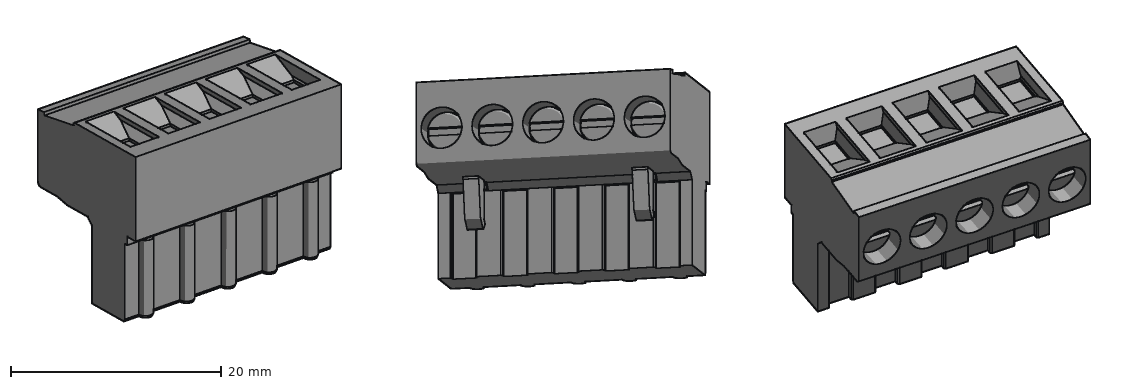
import cadquery as cq

length = 15.0
width = 25.0
height = 18.2

pole_count = 5
pole_pitch = width / pole_count
pole_centres = [pole_pitch * (i + 0.5) for i in range(pole_count)]

head_bottom = 9.3
overhang_bottom = 9.22
throat_bottom = 8.98
plug_top = 8.3
plug_front = 8.3
plug_back = 13.35
neck_back = 13.7
gusset = throat_bottom - plug_top
nose_radius = 0.5
step_x = 5.48
step_chamfer = 0.15

rib_radius = 0.8
foot_chamfer_height = 0.28
foot_chamfer_inset = 0.12

groove_depth = 0.58
groove_floor_width = 2.35
groove_chamfer = 0.15

pocket_x_min = 6.1
pocket_x_max = 13.0
pocket_width = 3.85
pocket_end_wall = 0.98
pocket_floor_x_min = 9.1
pocket_floor_x_max = 12.1
pocket_floor_width = 2.8
pocket_taper_depth = 0.5
pocket_throat_depth = 1.5
pocket_floor_depth = 1.78

screw_z = 12.88
screw_hole_radius = 2.0
screw_hole_depth = 2.5
screw_head_radius = 1.9
screw_head_round = 0.35
screw_head_setback = 1.65
screw_slot_width = 0.78
screw_slot_depth = 0.62

latch_width = 1.55
latch_centres = [4.18, width - 4.18]


def extrude_along_y(outline, y_start, y_length):
    """Solid with an XZ outline, running from y_start towards +Y."""
    return outline.extrude(-y_length).translate((0, y_start, 0))


def make_housing():
    outline = (
        cq.Workplane("XZ")
        .moveTo(0, head_bottom + nose_radius)
        .lineTo(0, 17.42)
        .lineTo(0.98, 17.5)
        .lineTo(1.05, 17.18)
        .lineTo(step_x, 17.85)
        .lineTo(step_x, height - step_chamfer)
        .lineTo(step_x + step_chamfer, height)
        .lineTo(length, height)
        .lineTo(length, overhang_bottom)
        .lineTo(neck_back, overhang_bottom)
        .lineTo(neck_back, plug_top)
        .lineTo(plug_back, plug_top)
        .lineTo(plug_back, foot_chamfer_height)
        .lineTo(plug_back - foot_chamfer_inset, 0)
        .lineTo(plug_front, 0)
        .lineTo(plug_front, plug_top)
        .lineTo(plug_front - gusset, throat_bottom)
        .lineTo(4.55, throat_bottom)
        .lineTo(3.0, head_bottom)
        .lineTo(nose_radius, head_bottom)
        .radiusArc((0, head_bottom + nose_radius), nose_radius)
        .close()
    )
    return extrude_along_y(outline, 0, width)


def make_rib(y):
    """Upright cylinder half sunk in the plug, with a tapered foot."""
    shaft = (
        cq.Workplane("XY", origin=(plug_back, y, 0))
        .circle(rib_radius)
        .extrude(plug_top)
    )
    return shaft.faces("<Z").edges().chamfer(foot_chamfer_height, foot_chamfer_inset)


def make_groove(y):
    half_floor = groove_floor_width / 2
    half_mouth = half_floor + groove_chamfer
    floor_x = plug_front + groove_depth
    return (
        cq.Workplane("XY")
        .moveTo(plug_front, y - half_mouth)
        .lineTo(plug_front + groove_chamfer, y - half_floor)
        .lineTo(floor_x, y - half_floor)
        .lineTo(floor_x, y + half_floor)
        .lineTo(plug_front + groove_chamfer, y + half_floor)
        .lineTo(plug_front, y + half_mouth)
        .close()
        .extrude(plug_top)
    )


def make_pocket(y):
    """Funnel: its length profile (XZ) crossed with its width profile (YZ)."""
    taper_z = height - pocket_taper_depth
    throat_z = height - pocket_throat_depth
    floor_z = height - pocket_floor_depth
    half_mouth = pocket_width / 2
    half_floor = pocket_floor_width / 2
    length_profile = (
        cq.Workplane("XZ")
        .moveTo(pocket_x_min, height)
        .lineTo(pocket_floor_x_min, throat_z)
        .lineTo(pocket_floor_x_min, floor_z)
        .lineTo(pocket_floor_x_max, floor_z)
        .lineTo(pocket_floor_x_max, throat_z)
        .lineTo(pocket_x_max, height)
        .close()
    )
    width_profile = (
        cq.Workplane("YZ")
        .moveTo(y - half_mouth, height)
        .lineTo(y - half_mouth, taper_z)
        .lineTo(y - half_floor, throat_z)
        .lineTo(y - half_floor, floor_z)
        .lineTo(y + half_floor, floor_z)
        .lineTo(y + half_floor, throat_z)
        .lineTo(y + half_mouth, taper_z)
        .lineTo(y + half_mouth, height)
        .close()
    )
    between_end_walls = extrude_along_y(length_profile, pocket_end_wall, width - 2 * pocket_end_wall)
    return between_end_walls.intersect(width_profile.extrude(length))


def make_screw_hole(y):
    """Blind hole that leaves the slotted, rounded screw head standing inside."""
    hole = (
        cq.Workplane("YZ", origin=(0, y, screw_z))
        .circle(screw_hole_radius)
        .extrude(screw_hole_depth)
    )
    head = (
        cq.Workplane("YZ", origin=(screw_head_setback, y, screw_z))
        .circle(screw_head_radius)
        .extrude(screw_hole_depth - screw_head_setback)
        .faces("<X")
        .edges()
        .fillet(screw_head_round)
    )
    slot = cq.Workplane("XY").box(
        2 * screw_slot_depth, 2 * screw_head_radius, screw_slot_width
    ).translate((screw_head_setback, y, screw_z))
    return hole.cut(head.cut(slot))


def make_latch(y):
    """Snap hook with a small support block facing it on the plug."""
    hook = (
        cq.Workplane("XZ")
        .moveTo(4.5, throat_bottom)
        .lineTo(4.65, 8.75)
        .lineTo(5.28, 5.18)
        .threePointArc((5.4, 4.95), (5.6, 4.8))
        .lineTo(6.2, 4.18)
        .lineTo(6.42, 4.18)
        .lineTo(7.05, 4.78)
        .lineTo(6.7, 5.18)
        .lineTo(6.7, throat_bottom)
        .close()
    )
    block = (
        cq.Workplane("XZ")
        .moveTo(7.28, throat_bottom)
        .lineTo(7.5, plug_top)
        .lineTo(plug_front, plug_top)
        .lineTo(plug_front, throat_bottom)
        .close()
    )
    y_start = y - latch_width / 2
    return extrude_along_y(hook, y_start, latch_width).union(extrude_along_y(block, y_start, latch_width))


result = make_housing()
for pole_y in pole_centres:
    result = result.union(make_rib(pole_y))
    result = result.cut(make_groove(pole_y))
    result = result.cut(make_pocket(pole_y))
    result = result.cut(make_screw_hole(pole_y))
for latch_y in latch_centres:
    result = result.union(make_latch(latch_y))